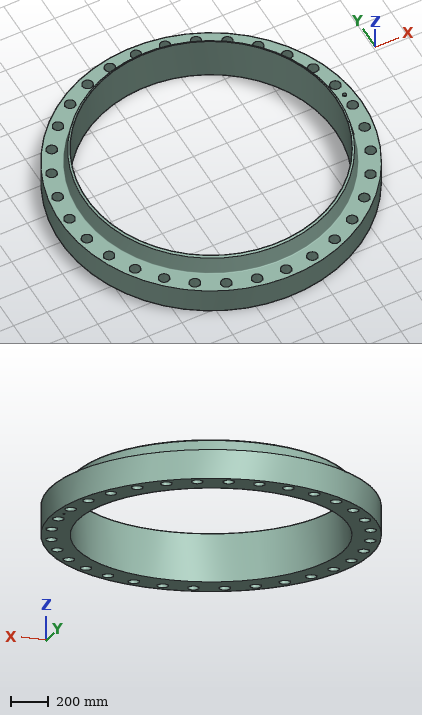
import cadquery as cq

INCH = 25.4

FLANGE_DIAMETER = 71.25 * INCH
FLANGE_THICKNESS = 6.38 * INCH
TOTAL_HEIGHT = 10.69 * INCH
BORE_DIAMETER = 1497.0

HUB_BASE_DIAMETER = 61.69 * INCH
HUB_TOP_DIAMETER = 60.0 * INCH
HUB_FILLET_RADIUS = 6.0

STUB_HEIGHT = 4.0
BEVEL_HEIGHT = 8.0
LAND_WIDTH = 1.6

BOLT_COUNT = 32
BOLT_CIRCLE_DIAMETER = 67.0 * INCH
BOLT_HOLE_DIAMETER = 2.38 * INCH

SMALL_HOLE_DIAMETER = 10.0
SMALL_COUNTERBORE_DIAMETER = 22.0
SMALL_COUNTERBORE_DEPTH = 20.0


def make_body():
    """Revolve the flange and its tapered neck, then fillet the corner between them."""
    bore_radius = BORE_DIAMETER / 2
    flange_radius = FLANGE_DIAMETER / 2
    hub_base_radius = HUB_BASE_DIAMETER / 2
    hub_top_radius = HUB_TOP_DIAMETER / 2
    stub_top = TOTAL_HEIGHT - BEVEL_HEIGHT
    outline = [
        (bore_radius, 0),
        (flange_radius, 0),
        (flange_radius, FLANGE_THICKNESS),
        (hub_base_radius, FLANGE_THICKNESS),
        (hub_top_radius, stub_top - STUB_HEIGHT),
        (hub_top_radius, stub_top),
        (bore_radius + LAND_WIDTH, TOTAL_HEIGHT),
        (bore_radius, TOTAL_HEIGHT),
    ]
    body = cq.Workplane("XZ").polyline(outline).close().revolve(360, (0, 0, 0), (0, 1, 0))
    hub_foot = cq.selectors.RadiusNthSelector(-2)
    return body.edges("%CIRCLE").edges(hub_foot).fillet(HUB_FILLET_RADIUS)


def drill_bolt_holes(body):
    """Cut the ring of through holes, the first one on the +X axis."""
    drills = (
        cq.Workplane("XY")
        .polarArray(BOLT_CIRCLE_DIAMETER / 2, 0, 360, BOLT_COUNT)
        .circle(BOLT_HOLE_DIAMETER / 2)
        .extrude(FLANGE_THICKNESS)
    )
    return body.cut(drills)


def drill_small_hole(body):
    """Cut the small stepped hole on the bolt circle, half a pitch counterclockwise from +X."""
    half_pitch = 360 / BOLT_COUNT / 2
    hole_place = (
        cq.Workplane("XY", origin=(0, 0, FLANGE_THICKNESS))
        .transformed(rotate=(0, 0, half_pitch))
        .center(BOLT_CIRCLE_DIAMETER / 2, 0)
    )
    hole = hole_place.circle(SMALL_HOLE_DIAMETER / 2).extrude(-FLANGE_THICKNESS)
    counterbore = hole_place.circle(SMALL_COUNTERBORE_DIAMETER / 2).extrude(-SMALL_COUNTERBORE_DEPTH)
    return body.cut(hole).cut(counterbore)


body = make_body()
body = drill_bolt_holes(body)
result = drill_small_hole(body)